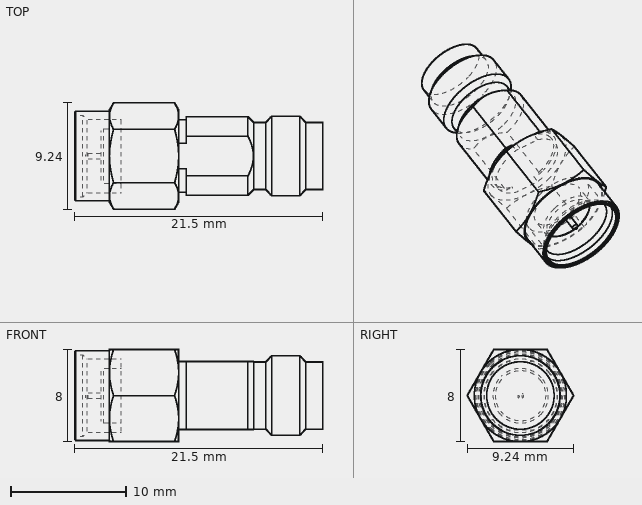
import cadquery as cq
import math

total_length = 21.5

collar_radius = 3.9
collar_chamfer = 0.1
collar_length = 3.0
hex_flats = 8.0
hex_length = 6.0
hex_end = collar_length + hex_length
hex_chamfer_angle = 30.0

mouth_radius = 3.65
mouth_chamfer = 0.1
counterbore_radius = mouth_radius - mouth_chamfer
counterbore_depth = 0.65
bore_radius = 3.2
bore_start = 1.05
bore_depth = 4.0

boss_radius = 2.38
boss_chamfer = 0.2
boss_front = 2.25
pin_radius = 0.25
pin_tip_radius = 0.13
pin_tip_length = 0.2
pin_front = 0.9

neck_radius = 3.15
neck_end = 9.65
body_radius = 3.42
body_end = 15.5
body_chamfer = 0.5
flat_half_width = 2.95

tail_radius = 2.925
ring_radius = 3.45
ring_chamfer = 0.5
ring_start = 16.55
ring_end = 20.0


def revolve_about_x(points):
    """Revolve a closed (x, radius) outline about the X axis."""
    return cq.Workplane("XY").polyline(points).close().revolve(360, (0, 0, 0), (1, 0, 0))


def tapered_rod(radius, tip_radius, tip_length, start, end):
    """Rod along X that narrows to the tip radius at its start."""
    return revolve_about_x([
        (start, 0),
        (start, tip_radius),
        (start + tip_length, radius),
        (end, radius),
        (end, 0),
    ])


def make_hexagon():
    """Hexagon with flats facing +Z and -Z, corners turned down by a cone at both ends."""
    corner_radius = hex_flats / math.sqrt(3)
    flat_radius = hex_flats / 2
    cone_length = (corner_radius - flat_radius) * math.tan(math.radians(hex_chamfer_angle))
    prism = (
        cq.Workplane("YZ", origin=(collar_length, 0, 0))
        .polygon(6, 2 * corner_radius)
        .extrude(hex_length)
    )
    envelope = revolve_about_x([
        (collar_length, 0),
        (collar_length, flat_radius),
        (collar_length + cone_length, corner_radius),
        (hex_end - cone_length, corner_radius),
        (hex_end, flat_radius),
        (hex_end, 0),
    ])
    return prism.intersect(envelope)


def make_mouth_cavity():
    """Stepped and coned recess in the front of the nut."""
    return revolve_about_x([
        (0, 0),
        (0, mouth_radius),
        (mouth_chamfer, counterbore_radius),
        (counterbore_depth, counterbore_radius),
        (bore_start, bore_radius),
        (bore_depth, bore_radius),
        (bore_depth, 0),
    ])


def make_flatted_body():
    """Neck and body with a tapered rear edge, flattened at top and bottom."""
    turned = revolve_about_x([
        (hex_end, 0),
        (hex_end, neck_radius),
        (neck_end, neck_radius),
        (neck_end, body_radius),
        (body_end - body_chamfer, body_radius),
        (body_end, tail_radius),
        (body_end, 0),
    ])
    between_flats = cq.Workplane("XY").box(2 * total_length, 2 * body_radius, 2 * flat_half_width)
    return turned.intersect(between_flats)


def make_tail():
    """Socket end with a raised ring chamfered on both sides."""
    return revolve_about_x([
        (body_end, 0),
        (body_end, tail_radius),
        (ring_start, tail_radius),
        (ring_start + ring_chamfer, ring_radius),
        (ring_end - ring_chamfer, ring_radius),
        (ring_end, tail_radius),
        (total_length, tail_radius),
        (total_length, 0),
    ])


collar = tapered_rod(collar_radius, collar_radius - collar_chamfer, collar_chamfer, 0, collar_length)
nut = collar.union(make_hexagon()).cut(make_mouth_cavity())
boss = tapered_rod(boss_radius, boss_radius - boss_chamfer, boss_chamfer, boss_front, hex_end)
pin = tapered_rod(pin_radius, pin_tip_radius, pin_tip_length, pin_front, hex_end)

result = nut.union(boss).union(pin).union(make_flatted_body()).union(make_tail())